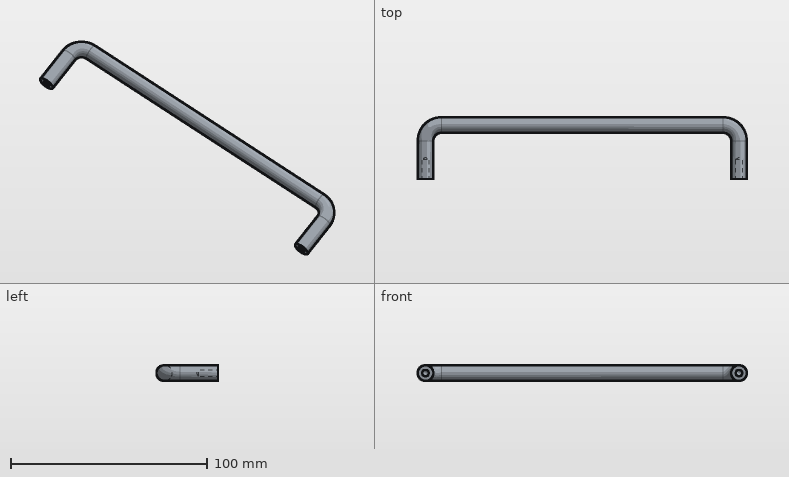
import cadquery as cq
import math

overall_length = 168.0
overall_depth = 31.5
rod_diameter = 8.0
bend_radius = 8.0
hole_diameter = 3.4
hole_depth = 10.0
drill_point_angle = 120

leg_x = (overall_length - rod_diameter) / 2
leg_end_y = -overall_depth / 2
grip_y = overall_depth / 2 - rod_diameter / 2
bend_start_y = grip_y - bend_radius
grip_end_x = leg_x - bend_radius


def handle_rod():
    """Sweep the round rod along a U: leg, bend, grip, bend, leg."""
    centreline = (
        cq.Workplane("XY")
        .moveTo(-leg_x, leg_end_y)
        .lineTo(-leg_x, bend_start_y)
        .radiusArc((-grip_end_x, grip_y), bend_radius)
        .lineTo(grip_end_x, grip_y)
        .radiusArc((leg_x, bend_start_y), bend_radius)
        .lineTo(leg_x, leg_end_y)
    )
    leg_end = cq.Plane(origin=(-leg_x, leg_end_y, 0), xDir=(1, 0, 0), normal=(0, 1, 0))
    return cq.Workplane(leg_end).circle(rod_diameter / 2).sweep(centreline)


def mounting_hole(x):
    """Blind drilled hole along Y with a conical bottom, revolved about the leg axis."""
    radius = hole_diameter / 2
    point_length = radius / math.tan(math.radians(drill_point_angle / 2))
    half_profile = (
        cq.Workplane("XY", origin=(x, leg_end_y, 0))
        .lineTo(radius, 0)
        .lineTo(radius, hole_depth)
        .lineTo(0, hole_depth + point_length)
        .close()
    )
    return half_profile.revolve(360, (0, 0), (0, 1))


result = handle_rod()
for leg_side in (-1, 1):
    result = result.cut(mounting_hole(leg_side * leg_x))